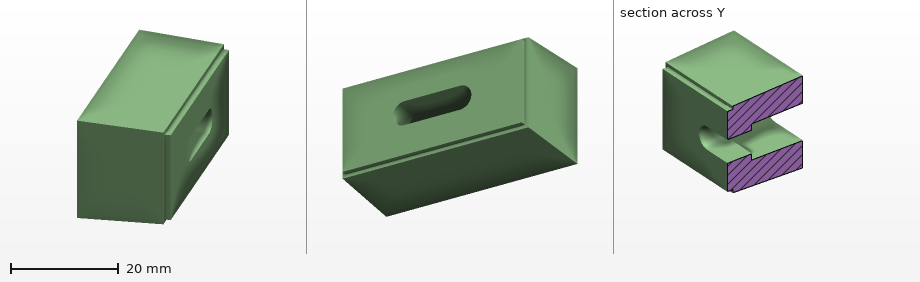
import cadquery as cq
import math

total_depth = 17.7
lip_depth = 1.2
body_length = 41.5
body_height = 19.9
body_draft = 2.0

lip_inset = 0.7

recess_length = 24.0
recess_height = 7.95
recess_depth = 12.0
recess_draft = 0.7

slot_length = 17.0
slot_height = 5.0

body_depth = total_depth - lip_depth
body_shrink = body_depth * math.tan(math.radians(body_draft))
lip_length = body_length - 2 * (body_shrink + lip_inset)
lip_height = body_height - 2 * (body_shrink + lip_inset)


def make_body():
    """Block whose four sides taper inward toward +X."""
    return cq.Workplane("YZ").rect(body_length, body_height).extrude(body_depth, taper=body_draft)


def make_lip():
    """Straight-sided raised pad on the small end of the body."""
    return cq.Workplane("YZ", origin=(body_depth, 0, 0)).rect(lip_length, lip_height).extrude(lip_depth)


def make_recess():
    """Drafted round-ended pocket entering from the large end."""
    return cq.Workplane("YZ").slot2D(recess_length, recess_height).extrude(recess_depth, taper=recess_draft)


def make_slot():
    """Smaller round-ended opening through the full depth."""
    return cq.Workplane("YZ").slot2D(slot_length, slot_height).extrude(total_depth)


result = make_body().union(make_lip()).cut(make_recess()).cut(make_slot())